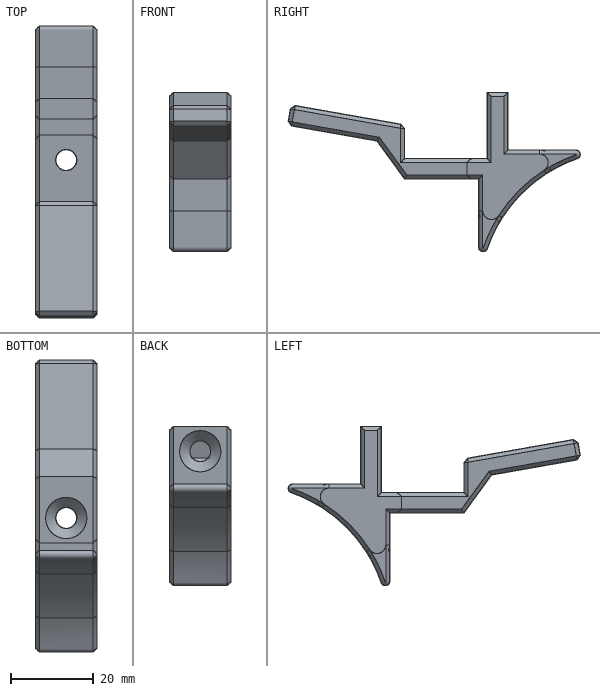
import cadquery as cq
import math

width = 15.0
wall = 5.0
edge_chamfer = 1.0

hole_diameter = 5.0
countersink_diameter = 10.0
countersink_angle = math.radians(90)

upright_front = 9.9
upright_top = 21.05
upright_hole_height = 15.0
corner_y = 7.85
corner_z = 7.1
arc_radius = 35.15
arc_offset = 35.35
guard_round = 3.1

leg_length = 24.65
tip_root = 8.5
tip_round = 1.05

plate_length = 12.05
riser_y = -10.05
riser_top = 13.2
knee_y = -16.8
lever_angle = math.radians(10)
lever_length = 28.0

plate_back = plate_length / 2
upright_back = upright_front + wall

tolerance = 0.1


def extruded(outline):
    """Close an outline drawn in the YZ plane and extrude it, centred on X = 0."""
    return outline.close().extrude(width / 2, both=True)


def side_edges(prism):
    """Outline edges of the two faces that look along X."""
    return prism.faces("<X or >X").edges()


def edge_along_x(y, z):
    """Selector for the edge that runs along X through the point (y, z)."""
    low_corner = (-width, y - tolerance, z - tolerance)
    high_corner = (width, y + tolerance, z + tolerance)
    return cq.selectors.BoxSelector(low_corner, high_corner)


def countersunk_hole(origin, direction):
    """Cutter for a hole through one wall, starting on its countersunk face."""
    start = cq.Vector(*origin)
    axis = cq.Vector(*direction)
    sink_depth = (countersink_diameter - hole_diameter) / 2 / math.tan(countersink_angle / 2)
    bore = cq.Solid.makeCylinder(hole_diameter / 2, wall, start, axis)
    sink = cq.Solid.makeCone(countersink_diameter / 2, hole_diameter / 2, sink_depth, start, axis)
    return cq.Workplane(bore.fuse(sink))


def from_corner(back, down):
    """Point in the YZ plane, measured from the corner where the two legs meet."""
    return corner_y + back, corner_z - down


def arc_depth(distance):
    """Depth of the concave face below a leg face, at a distance from the corner."""
    return arc_offset - math.sqrt(arc_radius**2 - (arc_offset - distance) ** 2)


def make_guard(lever):
    """Upright and two legs in one profile, fitted around the end of the plate."""
    center_back = arc_offset - math.sqrt((arc_radius + guard_round) ** 2 - (arc_offset - guard_round) ** 2)
    share = guard_round / (arc_radius + guard_round)
    touch_back = center_back + share * (arc_offset - center_back)
    touch_down = guard_round + share * (arc_offset - guard_round)
    round_back = center_back + guard_round * math.sqrt(0.5)
    round_down = guard_round - guard_round * math.sqrt(0.5)
    arc_middle = arc_offset - arc_radius * math.sqrt(0.5)

    root_y = plate_back - edge_chamfer
    blank = extruded(
        cq.Workplane("YZ")
        .moveTo(root_y, 0)
        .lineTo(root_y, wall)
        .lineTo(upright_front, wall)
        .lineTo(upright_front, upright_top)
        .lineTo(upright_back, upright_top)
        .lineTo(upright_back, corner_z)
        .lineTo(*from_corner(center_back, 0))
        .threePointArc(from_corner(round_back, round_down), from_corner(touch_back, touch_down))
        .threePointArc(from_corner(arc_middle, arc_middle), from_corner(touch_down, touch_back))
        .threePointArc(from_corner(round_down, round_back), from_corner(0, center_back))
        .lineTo(corner_y, 0)
    )
    outline_edges = side_edges(blank).filter(lambda edge: edge.Center().y > root_y + tolerance)
    upright_hole = countersunk_hole((0, upright_back, upright_hole_height), (0, -1, 0))
    return outline_edges.chamfer(edge_chamfer).cut(upright_hole).cut(lever)


def make_tip(guard, downward):
    """Pointed cap that continues one leg beyond its rounded end."""

    def place(along, inward):
        return from_corner(inward, along) if downward else from_corner(along, inward)

    halfway = (tip_root + leg_length) / 2
    end_corners = (place(leg_length, 0), place(leg_length, arc_depth(leg_length)))
    blank = extruded(
        cq.Workplane("YZ")
        .moveTo(*place(tip_root, 0))
        .lineTo(*end_corners[0])
        .lineTo(*end_corners[1])
        .threePointArc(place(halfway, arc_depth(halfway)), place(tip_root, arc_depth(tip_root)))
    )
    for y, z in end_corners:
        blank = blank.edges(edge_along_x(y, z)).fillet(tip_round)
    return side_edges(blank).chamfer(edge_chamfer).cut(guard)


def make_lever():
    """Mounting plate that rises at a riser into a sloping lever."""
    end_y = riser_y - lever_length * math.cos(lever_angle)
    end_z = riser_top + lever_length * math.sin(lever_angle)
    low_y = end_y - wall * math.sin(lever_angle)
    low_z = end_z - wall * math.cos(lever_angle)
    knee_z = low_z - (knee_y - low_y) * math.tan(lever_angle)
    blank = extruded(
        cq.Workplane("YZ")
        .moveTo(plate_back, 0)
        .lineTo(riser_y, 0)
        .lineTo(knee_y, knee_z)
        .lineTo(low_y, low_z)
        .lineTo(end_y, end_z)
        .lineTo(riser_y, riser_top)
        .lineTo(riser_y, wall)
        .lineTo(plate_back, wall)
    )
    bevelled = side_edges(blank)
    for y, z in ((riser_y, riser_top), (end_y, end_z), (low_y, low_z)):
        bevelled = bevelled.add(blank.edges(edge_along_x(y, z)))
    plate_hole = countersunk_hole((0, 0, 0), (0, 0, 1))
    return bevelled.chamfer(edge_chamfer).cut(plate_hole)


lever = make_lever()
guard = make_guard(lever)
tips = [make_tip(guard, downward) for downward in (False, True)]
result = cq.Compound.makeCompound([lever.val(), guard.val(), *[tip.val() for tip in tips]])